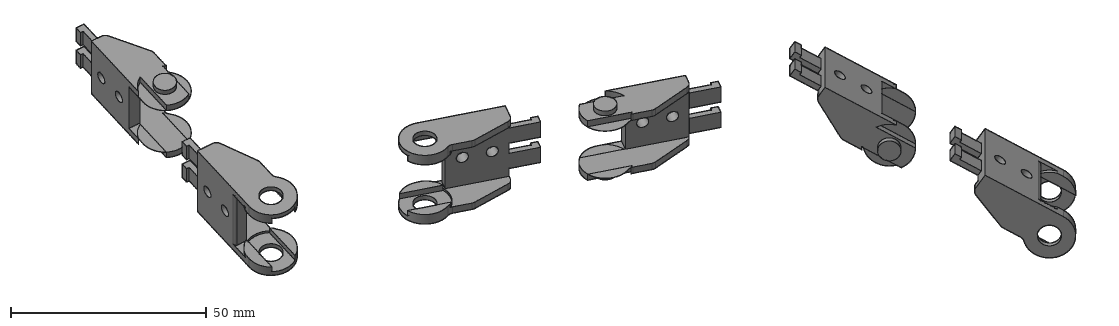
import cadquery as cq
import math

LENGTH = 87.0
EAR_DIAMETER = 13.5
EAR_RADIUS = EAR_DIAMETER / 2
OVERALL_HEIGHT = 22.7
KNUCKLE_X = 32.0
PLATE_START_X = 8.4
PLATE_END_X = 25.6
PLATE_THICKNESS = 3.5
SHOULDER_X = 20.3
BLEND_RADIUS = 2.0

TAB_HEIGHT = 5.05
TAB_CENTRE_Z = 4.2
TAB_UNDERSIDE = 1.8
HOOK_LENGTH = 2.0
HOOK_UNDERSIDE = 1.05

HOLE_COUNT = 2
HOLE_DIAMETER = 3.2
FIRST_HOLE_X = 13.0
HOLE_SPACING = 8.0

INNER_HALF_HEIGHT = 9.8
INNER_WINDOW_HALF = 7.7
INNER_SHOULDER_HEIGHT = 11.0
INNER_SLOPE_ANGLE = 30.0
PIN_DIAMETER = 6.0
STRIP_HALF_WIDTH = 3.5
RECESS_RADIUS = 7.05
RECESS_SKIN = 0.1

OUTER_HALF_HEIGHT = OVERALL_HEIGHT / 2
OUTER_WINDOW_HALF = 9.2
OUTER_SHOULDER_HEIGHT = 11.05
OUTER_SLOPE_ANGLE = 23.8
BORE_DIAMETER = 6.2
POCKET_RADIUS = 7.0
CLEARANCE = 0.1
POCKET_HALF = INNER_HALF_HEIGHT + CLEARANCE
GROOVE_HALF_WIDTH = STRIP_HALF_WIDTH + CLEARANCE
PAD_HALF = 8.2
EDGE_RADIUS = 1.3
EDGE_RUN = 1.05

OUTER_START_X = LENGTH - EAR_RADIUS - KNUCKLE_X


def slab(sketch, z_low, z_high):
    """Extrude a closed XY outline between two heights."""
    return sketch.extrude(z_high - z_low).translate((0, 0, z_low))


def knuckle_disc(radius, z_low, z_high):
    """Cylinder on the hinge axis."""
    return slab(cq.Workplane("XY").center(KNUCKLE_X, EAR_RADIUS).circle(radius), z_low, z_high)


def block(x_range, y_range, z_range):
    """Axis-aligned box between two limits on each axis."""
    size = [high - low for low, high in (x_range, y_range, z_range)]
    start = (x_range[0], y_range[0], z_range[0])
    return cq.Workplane("XY").box(*size, centered=False).translate(start)


def both_ends(shape):
    """A shape in the upper arm together with its mirror image in the lower arm."""
    return shape.union(shape.mirror("XY"))


def side_segments(radius, half_gap, z_low, z_high):
    """Two parts of a disc, either side of a straight gap."""
    gap = block(
        (KNUCKLE_X - radius, KNUCKLE_X + radius),
        (EAR_RADIUS - half_gap, EAR_RADIUS + half_gap),
        (z_low, z_high),
    )
    return knuckle_disc(radius, z_low, z_high).cut(gap)


def arm_profile(half_height, shoulder_height, slope_angle):
    """Full-height block with the side outline of a leaf, without tabs, centred on Z = 0."""
    slope_run = SHOULDER_X - PLATE_START_X
    corner_y = shoulder_height - slope_run * math.tan(math.radians(slope_angle))
    outline = (
        cq.Workplane("XY")
        .moveTo(PLATE_START_X, 0)
        .lineTo(KNUCKLE_X, 0)
        .lineTo(KNUCKLE_X, shoulder_height)
        .lineTo(SHOULDER_X, shoulder_height)
        .lineTo(PLATE_START_X, corner_y)
        .close()
    )
    profile = slab(outline, -half_height, half_height)
    profile = profile.union(knuckle_disc(EAR_RADIUS, -half_height, half_height))

    neck_x = KNUCKLE_X - math.sqrt(EAR_RADIUS**2 - (shoulder_height - EAR_RADIUS) ** 2)
    bends = [
        (PLATE_START_X, corner_y, 0),
        (SHOULDER_X, shoulder_height, 0),
        (neck_x, shoulder_height, 0),
    ]
    for bend in bends:
        nearest = cq.selectors.NearestToPointSelector(bend)
        profile = profile.edges("|Z").edges(nearest).fillet(BLEND_RADIUS)
    return profile


def leaf_blank(profile, window_half):
    """Plate with two round-ended arms and two hooked tabs, tab tips at X = 0."""
    window_z = (-window_half, window_half)
    far_x = KNUCKLE_X + 2 * EAR_RADIUS
    far_y = 3 * EAR_RADIUS
    body = profile.cut(block((0, far_x), (PLATE_THICKNESS, far_y), window_z))
    body = body.cut(block((PLATE_END_X, far_x), (-far_y, far_y), window_z))

    for centre_z in (-TAB_CENTRE_Z, TAB_CENTRE_Z):
        tab_z = (centre_z - TAB_HEIGHT / 2, centre_z + TAB_HEIGHT / 2)
        body = body.union(block((0, PLATE_START_X), (TAB_UNDERSIDE, PLATE_THICKNESS), tab_z))
        body = body.union(block((0, HOOK_LENGTH), (HOOK_UNDERSIDE, PLATE_THICKNESS), tab_z))

    for index in range(HOLE_COUNT):
        hole = cq.Workplane("XZ").circle(HOLE_DIAMETER / 2).extrude(-PLATE_THICKNESS)
        body = body.cut(hole.translate((FIRST_HOLE_X + index * HOLE_SPACING, 0, 0)))
    return body


def make_inner_leaf():
    """Leaf with a pin on each arm and recesses beside the locking strip."""
    profile = arm_profile(INNER_HALF_HEIGHT, INNER_SHOULDER_HEIGHT, INNER_SLOPE_ANGLE)
    body = leaf_blank(profile, INNER_WINDOW_HALF)
    recess_floor = INNER_WINDOW_HALF + RECESS_SKIN
    recesses = side_segments(RECESS_RADIUS, STRIP_HALF_WIDTH, recess_floor, INNER_HALF_HEIGHT)
    body = body.cut(both_ends(recesses))
    pin = knuckle_disc(PIN_DIAMETER / 2, INNER_HALF_HEIGHT, OUTER_HALF_HEIGHT)
    return body.union(both_ends(pin))


def make_outer_leaf():
    """Leaf with a bored, pocketed knuckle and raised pads beside a groove."""
    profile = arm_profile(OUTER_HALF_HEIGHT, OUTER_SHOULDER_HEIGHT, OUTER_SLOPE_ANGLE)
    body = leaf_blank(profile, OUTER_WINDOW_HALF)

    body = body.cut(both_ends(knuckle_disc(POCKET_RADIUS, OUTER_WINDOW_HALF, POCKET_HALF)))

    pads = side_segments(POCKET_RADIUS, GROOVE_HALF_WIDTH, PAD_HALF, POCKET_HALF)
    body = body.union(both_ends(pads).intersect(profile))

    bore = knuckle_disc(BORE_DIAMETER / 2, -OUTER_HALF_HEIGHT, OUTER_HALF_HEIGHT)
    body = body.cut(bore)

    edge_rise = EDGE_RADIUS - math.sqrt(EDGE_RADIUS**2 - EDGE_RUN**2)
    corner = (
        cq.Workplane("XY")
        .moveTo(PLATE_END_X - EDGE_RUN, 0)
        .radiusArc((PLATE_END_X, edge_rise), -EDGE_RADIUS)
        .lineTo(PLATE_END_X, 0)
        .close()
    )
    return body.cut(slab(corner, -OUTER_WINDOW_HALF, OUTER_WINDOW_HALF))


inner_leaf = make_inner_leaf()
outer_leaf = make_outer_leaf().translate((OUTER_START_X, 0, 0))

result = cq.Compound.makeCompound([inner_leaf.val(), outer_leaf.val()])